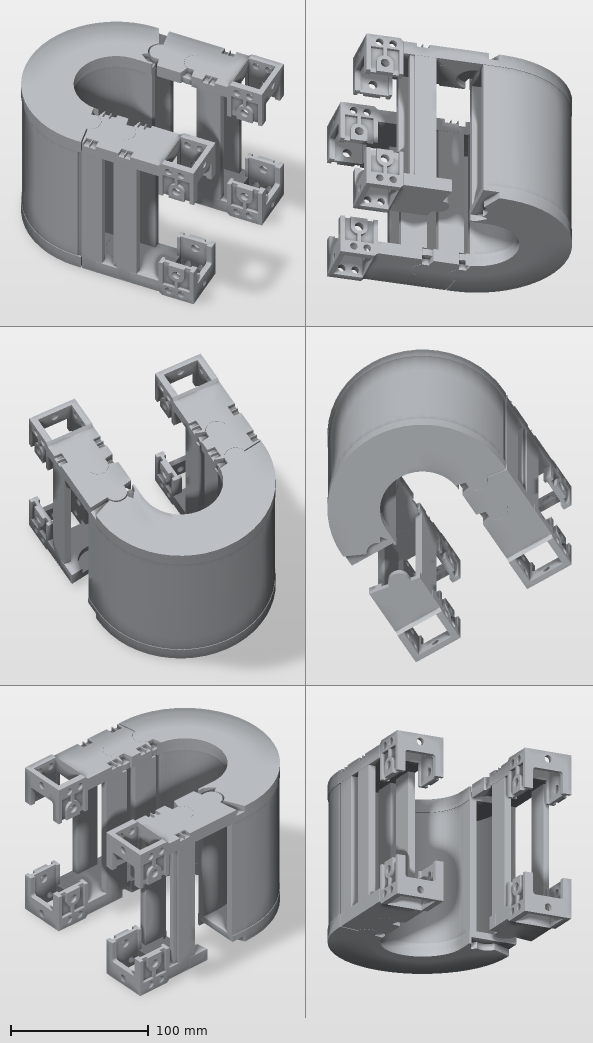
import cadquery as cq


overall_length = 171.0
overall_width = 138.0
overall_height = 125.3
outer_radius = overall_width / 2
channel_width = 38.1
inner_radius = outer_radius - channel_width
channel_middle = -(outer_radius + inner_radius) / 2
plate_span = 120.5
plate_top = plate_span / 2
plate_thickness = 10.1
plate_bottom = plate_top - plate_thickness
lap_level = plate_top - plate_thickness / 2
wall_thickness = 5.8
bend_wall_inset = 0.5
bar_inset = 0.2

far = 342.0

pitch = 27.9
pivot_y = -45.8
knuckle_radius = 8.0
socket_clearance = 0.2
tongue_radius = 13.7
tongue_clearance = 0.2
shoulder_outer_x = 4.0
neck_x = 1.4
neck_y = -53.7
relief_y = -38.0
knuckle_relief = (-2.5, -4.1)
socket_relief = (2.7, 4.8)
bend_joint_gap = 0.5

bend_knuckle_x = 0.3
near_link_x = 0.3
near_bracket_x = near_link_x + pitch
side_plate_knuckle_x = 14.0
far_bracket_knuckle_x = side_plate_knuckle_x + pitch
bend_outer_wall_end = 1.0
bend_inner_wall_end = -3.2

recess_shoulder_x = 2.2
recess_neck = (9.4, 53.7)
recess_arc_middle = (4.8, 46.2)
recess_arc_end = (6.8, 40.7)
recess_inner_corner = (2.5, 37.8)
recess_rim_start_x = 10.1
recess_rim_y = 32.5

bar_start = 4.1
bar_end = 20.2
bar_lip_length = 3.2
bar_lip_recess = 1.4
inner_bar_start = 0.7
bar_foot_start = 5.8
bar_foot_length = 9.2
bar_foot_depth = 9.5
notch_starts = (5.5, 10.6)
notch_length = 4.5
notch_width = 6.0
notch_depth = 2.9

near_bracket_start = 66.0
bracket_length = 27.9
far_bracket_start = overall_length - outer_radius - bracket_length
bracket_top = overall_height / 2
bracket_bottom = 32.5
bracket_chamfer = bracket_top - plate_top
bracket_wall = 5.0
bracket_inset = 0.2
bracket_end_wall = 4.1
entry_wall = 6.7
window_top = 48.7
window_jamb = 1.7
window_fillet = 2.0
pocket_depth = 2.7
pocket_top = 52.5
pocket_margin = 3.0
rib_width = 2.4
boss_radius = 6.3
boss_z = 40.0
boss_hole_diameter = 6.7
screw_hole_diameter = 5.6
screw_hole_z = 57.0
screw_hole_spacing = 10.1
screw_hole_offset = -1.0


def box(x0, x1, y0, y1, z0, z1):
    """Block between two opposite corners."""
    return cq.Workplane("XY").box(x1 - x0, y1 - y0, z1 - z0, centered=False).translate((x0, y0, z0))


def prism(outline, z0, z1):
    """Upright prism over a closed outline drawn in the XY plane."""
    return outline.extrude(z1 - z0).translate((0, 0, z0))


def mirrored_pair(shape):
    """The shape together with its mirror image below the middle plane."""
    return shape.union(shape.mirror("XY"))


def half_turn(shape, x):
    """Turn a -Y leg shape onto the +Y leg, moving its local X origin to x."""
    return shape.rotate((0, 0, 0), (0, 0, 1), 180).translate((x, 0, 0))


def joint_side(pivot_x, radius, relief, shoulder_shift):
    """Everything on the -X side of a hinge edge: slanted shoulder, round knuckle, slanted relief."""
    arc_dx = (radius**2 - (neck_y - pivot_y) ** 2) ** 0.5
    relief_dx = (radius**2 - (relief_y - pivot_y) ** 2) ** 0.5
    outline = (
        cq.Workplane("XY")
        .moveTo(-far, -outer_radius)
        .lineTo(pivot_x + shoulder_outer_x + shoulder_shift, -outer_radius)
        .lineTo(pivot_x + neck_x + shoulder_shift, neck_y)
        .lineTo(pivot_x + arc_dx, neck_y)
        .threePointArc((pivot_x + radius, pivot_y), (pivot_x + relief_dx, relief_y))
        .lineTo(pivot_x + relief[0], relief_y)
        .lineTo(pivot_x + relief[1], -inner_radius)
        .lineTo(-far, -inner_radius)
        .close()
    )
    return prism(outline, plate_bottom, plate_top)


def tongue_disc(pivot_x, radius):
    """Round tongue of the inner half of the plate, centred on a pivot."""
    disc = cq.Workplane("XY").center(pivot_x, pivot_y).circle(radius)
    return prism(disc, plate_bottom, lap_level)


def leg_strip(x0, x1):
    return box(x0, x1, -outer_radius, -inner_radius, plate_bottom, plate_top)


def cut_socket_end(plate, shift=0.0):
    """Socket at local X = 0, with the round tongue that reaches under the neighbour's knuckle."""
    plate = plate.cut(joint_side(0, knuckle_radius + socket_clearance, socket_relief, shift))
    return plate.union(tongue_disc(0, tongue_radius))


def cut_knuckle_end(plate, pivot_x, shift=0.0):
    """Knuckle on the outer half of the plate; the inner half is cut back round the tongue."""
    beyond = leg_strip(pivot_x + knuckle_relief[1], far)
    beyond = beyond.cut(joint_side(pivot_x, knuckle_radius, knuckle_relief, -shift))
    return plate.cut(beyond).cut(tongue_disc(pivot_x, tongue_radius + tongue_clearance))


def link_plate(socket_shift=0.0):
    """One side plate of a link: socket at local X = 0, knuckle one pitch further on."""
    plate = leg_strip(-pitch, 2 * pitch)
    plate = cut_socket_end(plate, socket_shift)
    return cut_knuckle_end(plate, pitch)


def mirror_across_leg(shape):
    """Mirror image across the middle of the leg's width."""
    return shape.mirror("XZ", (0, channel_middle, 0))


def outer_crossbar():
    """Bar on the outer side of a leg, with a recessed lip on its socket side."""
    face = -outer_radius + bar_inset
    back = -outer_radius + wall_thickness
    main = box(bar_start, bar_end, face, back, -plate_bottom, plate_bottom)
    lip = box(bar_start - bar_lip_length, bar_start, face + bar_lip_recess, back, -plate_bottom, plate_bottom)
    return main.union(lip)


def inner_crossbar():
    """Plain bar on the inner side of a leg."""
    face = -inner_radius - bar_inset
    back = -inner_radius - wall_thickness
    return box(inner_bar_start, bar_end, back, face, -plate_bottom, plate_bottom)


def outer_bar_seats():
    """Snap notches in the upper plate and the shallow seat of the bar's foot in the lower plate."""
    edge = -outer_radius
    seats = box(
        bar_foot_start,
        bar_foot_start + bar_foot_length,
        edge,
        edge + bar_inset,
        -plate_bottom - bar_foot_depth,
        -plate_bottom,
    )
    for start in notch_starts:
        notch = box(start, start + notch_length, edge, edge + notch_width, plate_top - notch_depth, plate_top)
        seats = seats.union(notch)
    return seats


def add_crossbars(plates):
    """Join a pair of plates with an outer and an inner crossbar."""
    seats = outer_bar_seats()
    joined = plates.union(outer_crossbar()).union(inner_crossbar())
    return joined.cut(seats).cut(mirror_across_leg(seats))


def bracket_pockets():
    """Recesses in the outer face of a bracket wall, leaving a rib and a boss round the middle hole."""
    x0 = pocket_margin
    x1 = bracket_length - pocket_margin
    middle = bracket_length / 2
    y0 = -outer_radius
    y1 = y0 + pocket_depth
    recess = box(x0, x1, y0, y1, bracket_bottom, pocket_top)
    rib = box(middle - rib_width / 2, middle + rib_width / 2, y0, y1, boss_z, pocket_top)
    boss = box(middle - boss_radius, middle + boss_radius, y0, y1, bracket_bottom, boss_z)
    boss_top = cq.Workplane("XZ", (middle, y0, boss_z)).circle(boss_radius).extrude(-pocket_depth)
    return recess.cut(rib).cut(boss).cut(boss_top)


def bracket_holes():
    """Screw holes through both side walls and the end wall."""
    middle = bracket_length / 2
    holes = cq.Workplane("XZ", (middle, -outer_radius, boss_z)).circle(boss_hole_diameter / 2)
    holes = holes.extrude(-channel_width)
    for side in (-1, 1):
        x = middle + screw_hole_offset + side * screw_hole_spacing / 2
        hole = cq.Workplane("XZ", (x, -outer_radius, screw_hole_z)).circle(screw_hole_diameter / 2)
        holes = holes.union(hole.extrude(-channel_width))
    end_wall_x = bracket_length - bracket_end_wall
    end_hole = cq.Workplane("YZ", (end_wall_x, channel_middle, screw_hole_z)).circle(screw_hole_diameter / 2)
    return holes.union(end_hole.extrude(bracket_end_wall))


def bracket_frame():
    """Upper end bracket: two side walls and an end wall, open toward the chain and the middle."""
    y0 = -outer_radius + bracket_inset
    y1 = -inner_radius - bracket_inset
    frame = box(0, bracket_length, y0, y1, bracket_bottom, bracket_top)
    frame = frame.edges("<X and >Z").chamfer(bracket_chamfer)

    inside_x0 = bracket_chamfer
    inside_x1 = bracket_length - bracket_end_wall
    inside_y0 = y0 + bracket_wall
    inside_y1 = y1 - bracket_wall
    frame = frame.cut(box(inside_x0, inside_x1, inside_y0, inside_y1, bracket_bottom, bracket_top))
    frame = frame.cut(box(0, inside_x0, y0 + entry_wall, y1 - entry_wall, bracket_bottom, plate_bottom))
    window_y0 = inside_y0 + window_jamb
    window_y1 = inside_y1 - window_jamb
    window = box(inside_x1, bracket_length, window_y0, window_y1, bracket_bottom, window_top)
    frame = frame.cut(window.edges("|X and >Z").fillet(window_fillet))

    pockets = bracket_pockets()
    return frame.cut(pockets).cut(mirror_across_leg(pockets)).cut(bracket_holes())


def bend_plate():
    """Upper U plate of the bend: knuckle on the -Y end, stepped socket on the +Y end."""
    ring = cq.Workplane("XY").circle(outer_radius).circle(inner_radius)
    ring = prism(ring, plate_bottom, plate_top)
    curved = ring.intersect(box(-far, 0, -far, far, plate_bottom, plate_top))

    near_half = curved.intersect(box(-far, 0, -far, 0, plate_bottom, plate_top))
    near_half = near_half.union(leg_strip(0, pitch))
    near_half = cut_knuckle_end(near_half, bend_knuckle_x, bend_joint_gap)

    far_half = curved.intersect(box(-far, 0, 0, far, plate_bottom, plate_top))
    far_strip = box(0, side_plate_knuckle_x, inner_radius, outer_radius, plate_bottom, plate_top)
    far_half = far_half.union(far_strip)
    return near_half.union(far_half).cut(bend_socket())


def bend_socket():
    """Wide clearance recess in the outer half of the bend plate, beneath the loose side plate."""
    outline = (
        cq.Workplane("XY")
        .moveTo(recess_shoulder_x, outer_radius)
        .lineTo(*recess_neck)
        .threePointArc(recess_arc_middle, recess_arc_end)
        .lineTo(*recess_inner_corner)
        .lineTo(recess_rim_start_x, recess_rim_y)
        .lineTo(side_plate_knuckle_x, recess_rim_y)
        .lineTo(side_plate_knuckle_x, outer_radius)
        .close()
    )
    return prism(outline, lap_level, plate_top)


def bend_wall(radius_out, radius_in, near_end):
    """U-shaped wall between the bend plates, from near_end on the -Y leg to the plate end on the +Y leg."""
    ring = prism(cq.Workplane("XY").circle(radius_out).circle(radius_in), -plate_bottom, plate_bottom)
    curved = ring.intersect(box(-far, 0, -far, far, -plate_bottom, plate_bottom))
    far_straight = box(0, side_plate_knuckle_x, radius_in, radius_out, -plate_bottom, plate_bottom)
    near_straight = box(0, pitch, -radius_out, -radius_in, -plate_bottom, plate_bottom)
    beyond_end = box(near_end, far, -far, 0, -plate_bottom, plate_bottom)
    return curved.union(far_straight).union(near_straight).cut(beyond_end)


def make_bend():
    outer_face = outer_radius - bend_wall_inset
    outer_back = outer_radius - wall_thickness
    inner_face = inner_radius + bend_wall_inset
    inner_back = inner_radius + wall_thickness
    bend = mirrored_pair(bend_plate())
    bend = bend.union(bend_wall(outer_face, outer_back, bend_outer_wall_end))
    return bend.union(bend_wall(inner_back, inner_face, bend_inner_wall_end))


def make_link():
    """Complete link on the -Y leg."""
    link = add_crossbars(mirrored_pair(link_plate(bend_joint_gap)))
    return link.translate((near_link_x, 0, 0))


def make_side_plate():
    """Single upper side plate on the +Y leg, without crossbars; its knuckle end rests on the bend."""
    plate = link_plate()
    plate = plate.cut(box(pitch, 2 * pitch, -outer_radius, -inner_radius, plate_bottom, lap_level))
    return half_turn(plate, side_plate_knuckle_x + pitch)


def make_socket_bracket():
    """End bracket on the -Y leg, hinged by a socket."""
    plate = cut_socket_end(leg_strip(-pitch, near_bracket_start - near_bracket_x))
    bars_and_plates = add_crossbars(mirrored_pair(plate)).translate((near_bracket_x, 0, 0))
    frames = mirrored_pair(bracket_frame()).translate((near_bracket_start, 0, 0))
    return bars_and_plates.union(frames)


def make_knuckle_bracket():
    """End bracket on the +Y leg, hinged by a knuckle."""
    turn_x = far_bracket_knuckle_x + pitch
    plate = cut_knuckle_end(leg_strip(turn_x - far_bracket_start, 2 * pitch), pitch)
    bars_and_plates = half_turn(add_crossbars(mirrored_pair(plate)), turn_x)
    frames = mirrored_pair(bracket_frame()).mirror("XZ").translate((far_bracket_start, 0, 0))
    return bars_and_plates.union(frames)


result = cq.Compound.makeCompound([
    make_bend().val(),
    make_link().val(),
    make_side_plate().val(),
    make_socket_bracket().val(),
    make_knuckle_bracket().val(),
])